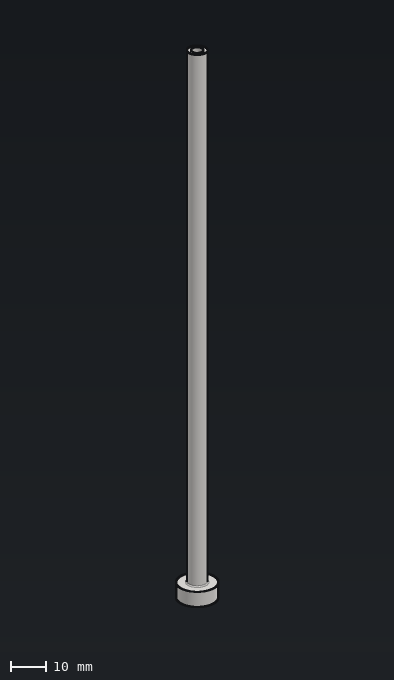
import cadquery as cq

total_length = 175.0
head_diameter = 12.0
head_height = 4.9
tube_diameter = 6.0
bore_diameter = 3.5
neck_fillet = 0.4

head_radius = head_diameter / 2
tube_radius = tube_diameter / 2
bore_radius = bore_diameter / 2

half_section = (
    cq.Workplane("XZ")
    .moveTo(bore_radius, 0)
    .lineTo(head_radius, 0)
    .lineTo(head_radius, head_height)
    .lineTo(tube_radius + neck_fillet, head_height)
    .radiusArc((tube_radius, head_height + neck_fillet), neck_fillet)
    .lineTo(tube_radius, total_length)
    .lineTo(bore_radius, total_length)
    .close()
)

result = half_section.revolve(360, (0, 0, 0), (0, 1, 0))